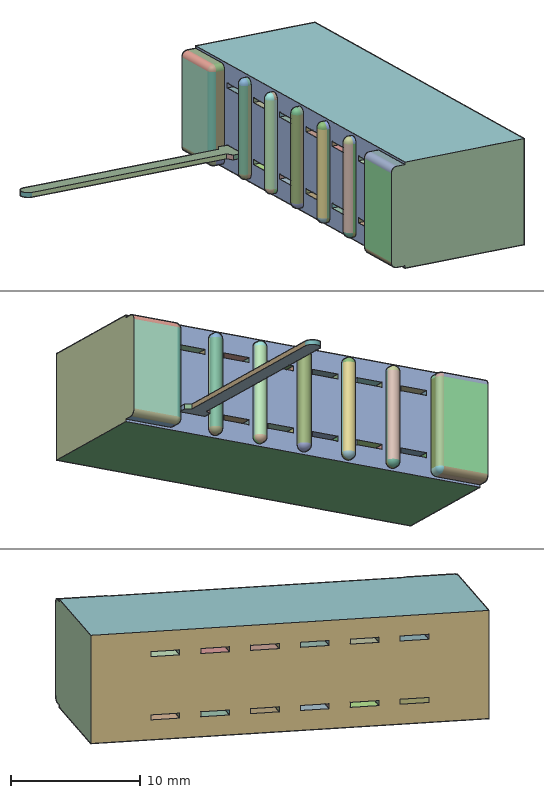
import cadquery as cq

housing_length = 31.65
housing_height = 8.71
housing_depth = 10.76

contact_pitch = 3.96
contact_columns = 6
row_spacing = 5.08
slot_width = 2.27
slot_thickness = 0.4

raised_height = 8.31
end_block_length = 4.41
end_block_depth = 1.24
end_block_fillet = 0.5
rib_width = 1.04
rib_depth = 0.78

overall_depth = 30.0
pin_width = 1.27
pin_shoulder_depth = 0.8
pin_taper_depth = 0.3

contact_face_y = 0.0
rib_radius = rib_width / 2
first_column_x = -contact_pitch * (contact_columns - 1) / 2
column_xs = [first_column_x + i * contact_pitch for i in range(contact_columns)]
row_zs = [-row_spacing / 2, row_spacing / 2]
pin_x = column_xs[0]
pin_z = row_zs[0]
pin_tip_y = housing_depth - overall_depth


def make_end_block(side):
    """Rounded pad on the contact face, flush with the housing end; side is -1 or +1 along X."""
    center_x = side * (housing_length - end_block_length) / 2
    block = (
        cq.Workplane("XY")
        .box(end_block_length, end_block_depth, raised_height)
        .translate((center_x, contact_face_y - end_block_depth / 2, 0))
    )
    inner_face = ">X" if side < 0 else "<X"
    inner_corners = block.faces(inner_face).edges("|Y")
    front_edges = block.faces("<Y").edges("|X")
    inner_front_edge = block.faces("<Y").edges("|Z").edges(inner_face)
    return inner_corners.add(front_edges).add(inner_front_edge).fillet(end_block_fillet)


def make_rib(center_x):
    """Upright rib with a half-round crest and ball-shaped ends on a short straight base."""
    base_depth = rib_depth - rib_radius
    crest_y = contact_face_y - base_depth
    half_span = raised_height / 2 - rib_radius
    base = (
        cq.Workplane("XZ", origin=(center_x, contact_face_y, 0))
        .slot2D(raised_height, rib_width, 90)
        .extrude(base_depth)
    )
    crest = (
        cq.Workplane("XY", origin=(center_x, crest_y, -half_span))
        .circle(rib_radius)
        .extrude(2 * half_span)
    )
    rib = base.union(crest)
    for end_z in (-half_span, half_span):
        ball = cq.Workplane("XY").sphere(rib_radius).translate((center_x, crest_y, end_z))
        rib = rib.union(ball)
    return rib


def make_slots():
    """Contact slots running through the full depth of the housing."""
    return (
        cq.Workplane("XZ", origin=(0, housing_depth, 0))
        .pushPoints([(x, z) for x in column_xs for z in row_zs])
        .rect(slot_width, slot_thickness)
        .extrude(housing_depth - contact_face_y)
    )


def make_housing():
    """Slotted connector block with ribs and end blocks on its contact face."""
    housing = (
        cq.Workplane("XY")
        .box(housing_length, housing_depth, housing_height)
        .translate((0, contact_face_y + housing_depth / 2, 0))
    )
    for side in (-1, 1):
        housing = housing.union(make_end_block(side))
    for left_column_x in column_xs[:-1]:
        housing = housing.union(make_rib(left_column_x + contact_pitch / 2))
    return housing.cut(make_slots())


def make_pin():
    """Flat pin filling its slot, tapering past a shoulder to a narrow tail with a round tip."""
    half_slot = slot_width / 2
    half_pin = pin_width / 2
    shoulder_y = contact_face_y - pin_shoulder_depth
    tail_y = shoulder_y - pin_taper_depth
    tip_center_y = pin_tip_y + half_pin
    return (
        cq.Workplane("XY", origin=(pin_x, 0, pin_z - slot_thickness / 2))
        .moveTo(-half_slot, housing_depth)
        .lineTo(-half_slot, shoulder_y)
        .lineTo(-half_pin, tail_y)
        .lineTo(-half_pin, tip_center_y)
        .threePointArc((0, pin_tip_y), (half_pin, tip_center_y))
        .lineTo(half_pin, tail_y)
        .lineTo(half_slot, shoulder_y)
        .lineTo(half_slot, housing_depth)
        .close()
        .extrude(slot_thickness)
    )


housing = make_housing()
pin = make_pin()
result = cq.Compound.makeCompound([housing.val(), pin.val()])